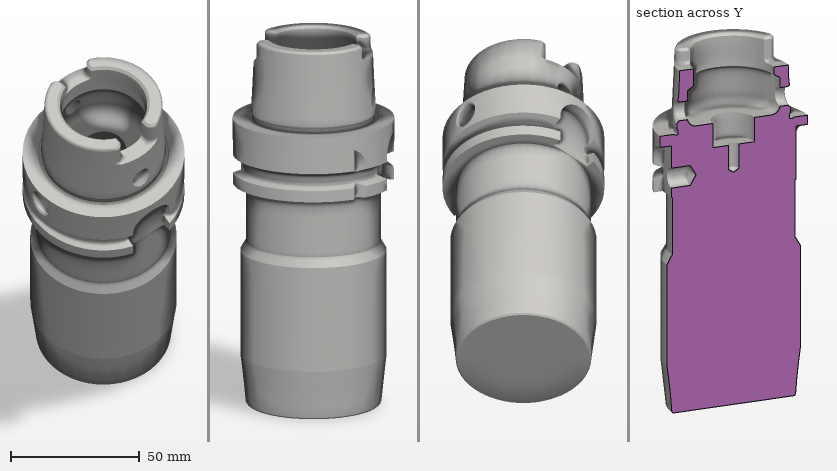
import cadquery as cq
import math


SHANK_LENGTH = 32.0
TAPER_TOP_RADIUS = 22.9
TAPER_BASE_RADIUS = 24.3
TAPER_BASE_Z = 2.2
NECK_RADIUS = 23.9
NECK_TOP_Z = 1.3
RIM_FILLET = 1.3
RIM_CHAMFER = 1.0

RELIEF_DEPTH = 0.4
RELIEF_RADIUS = 25.5

FLANGE_RADIUS = 31.5
FLANGE_THICKNESS = 26.0
GROOVE_CENTRE_Z = -18.0
GROOVE_MOUTH_WIDTH = 6.8
GROOVE_FLOOR_WIDTH = 3.4
GROOVE_FLOOR_RADIUS = 27.5
GROOVE_CORNER_FILLET = 0.85

TOTAL_LENGTH = 146.9
BODY_BOTTOM_Z = SHANK_LENGTH - TOTAL_LENGTH
UPPER_BODY_RADIUS = 26.25
SHOULDER_TOP_Z = -49.5
SHOULDER_BOTTOM_Z = -53.3
LOWER_BODY_RADIUS = 28.5
NOSE_TOP_Z = -95.0
NOSE_END_RADIUS = 26.4
NOSE_CHAMFER = 0.6

LIP_RADIUS = 17.0
LIP_BOTTOM_Z = 18.5
LIP_ANGLE = 30.0
CHAMBER_RADIUS = 19.6
CHAMBER_FILLET = 3.6
BORE_FLOOR_Z = 2.2
TUBE_SEAT_RADIUS = 8.75
TUBE_SEAT_DEPTH = 10.0
COOLANT_HOLE_RADIUS = 2.2
COOLANT_HOLE_DEPTH = 10.0
DRILL_TIP_ANGLE = 118.0

RIM_SLOT_HALF_WIDTH = 6.27
RIM_SLOT_CORNER_RADIUS = 3.0
RIM_SLOT_CORNER_START = 17.8
RIM_SLOT_FLOOR_FILLET = 1.5
SHALLOW_SLOT_FLOOR_Z = 25.8
DEEP_SLOT_FLOOR_Z = 21.8

CROSS_HOLE_RADIUS = 3.75
CROSS_HOLE_Z = 9.0
CROSS_HOLE_CHAMFER = 0.8

KEYWAY_RADIUS = 8.2
WIDE_KEYWAY_RADIUS = 9.0
KEYWAY_CENTRE_Z = -13.0
KEYWAY_FLOOR_X = 26.5
NOTCH_CORNER = 20.2
KEYWAY_HOLE_RADIUS = 4.0
KEYWAY_HOLE_Z = GROOVE_CENTRE_Z
KEYWAY_HOLE_DEPTH = 8.0

CHIP_RADIUS = 5.0
CHIP_DEPTH = 4.6
CHIP_CHAMFER = 0.7
CHIP_Z = -7.0
CHIP_VENT_RADIUS = 0.6
CHIP_VENT_DEPTH = 3.0

OUTSIDE = 2 * FLANGE_RADIUS


def drill(radius, depth):
    """Blind drill pointing along -Z from the origin, with a conical tip."""
    tip = radius / math.tan(math.radians(DRILL_TIP_ANGLE / 2))
    profile = [(0, 0), (radius, 0), (radius, -depth), (0, -depth - tip)]
    return cq.Workplane("XZ").polyline(profile).close().revolve(360, (0, 0), (0, 1))


def countersink(hole_radius, chamfer):
    """45 degree cone along -Z, its chamfer width measured at the origin plane and running out above it."""
    mouth = hole_radius + chamfer
    rise = 2 * chamfer
    profile = [(0, rise), (mouth + rise, rise), (0, -mouth)]
    return cq.Workplane("XZ").polyline(profile).close().revolve(360, (0, 0), (0, 1))


def make_body():
    """Turned outer form, before the gripper groove is cut."""
    profile = [
        (0, SHANK_LENGTH),
        (TAPER_TOP_RADIUS, SHANK_LENGTH),
        (TAPER_BASE_RADIUS, TAPER_BASE_Z),
        (NECK_RADIUS, NECK_TOP_Z),
        (NECK_RADIUS, -RELIEF_DEPTH),
        (RELIEF_RADIUS - RELIEF_DEPTH, -RELIEF_DEPTH),
        (RELIEF_RADIUS, 0),
        (FLANGE_RADIUS, 0),
        (FLANGE_RADIUS, -FLANGE_THICKNESS),
        (UPPER_BODY_RADIUS, -FLANGE_THICKNESS),
        (UPPER_BODY_RADIUS, SHOULDER_TOP_Z),
        (LOWER_BODY_RADIUS, SHOULDER_BOTTOM_Z),
        (LOWER_BODY_RADIUS, NOSE_TOP_Z),
        (NOSE_END_RADIUS, BODY_BOTTOM_Z + NOSE_CHAMFER),
        (NOSE_END_RADIUS - NOSE_CHAMFER, BODY_BOTTOM_Z),
        (0, BODY_BOTTOM_Z),
    ]
    turned = cq.Workplane("YZ").polyline(profile).close().revolve(360, (0, 0), (0, 1))
    return turned.faces(">Z").edges().fillet(RIM_FILLET)


def cut_gripper_groove(body):
    """Trapezoidal groove round the flange with filleted floor corners."""
    floor_half = GROOVE_FLOOR_WIDTH / 2
    mouth_half = GROOVE_MOUTH_WIDTH / 2
    profile = [
        (GROOVE_FLOOR_RADIUS, floor_half),
        (FLANGE_RADIUS, mouth_half),
        (OUTSIDE, mouth_half),
        (OUTSIDE, -mouth_half),
        (FLANGE_RADIUS, -mouth_half),
        (GROOVE_FLOOR_RADIUS, -floor_half),
    ]
    groove = (
        cq.Workplane("YZ")
        .polyline(profile)
        .close()
        .revolve(360, (0, 0), (0, 1))
        .edges(cq.selectors.RadiusNthSelector(0))
        .fillet(GROOVE_CORNER_FILLET)
    )
    return body.cut(groove.translate((0, 0, GROOVE_CENTRE_Z)))


def cut_bore(body):
    """Shank bore with its undercut chamber, coolant tube seat and coolant hole."""
    lip = cq.Workplane("XY", origin=(0, 0, LIP_BOTTOM_Z)).circle(LIP_RADIUS).extrude(SHANK_LENGTH)
    lip_drop = (CHAMBER_RADIUS - LIP_RADIUS) * math.tan(math.radians(LIP_ANGLE))
    chamber_profile = [
        (0, BORE_FLOOR_Z),
        (CHAMBER_RADIUS, BORE_FLOOR_Z),
        (CHAMBER_RADIUS, LIP_BOTTOM_Z - lip_drop),
        (LIP_RADIUS, LIP_BOTTOM_Z),
        (0, LIP_BOTTOM_Z),
    ]
    chamber = (
        cq.Workplane("XZ")
        .polyline(chamber_profile)
        .close()
        .revolve(360, (0, 0), (0, 1))
        .faces("<Z")
        .edges()
        .fillet(CHAMBER_FILLET)
    )
    mouth = countersink(LIP_RADIUS, RIM_CHAMFER).translate((0, 0, SHANK_LENGTH))
    seat_floor_z = BORE_FLOOR_Z - TUBE_SEAT_DEPTH
    seat = (
        cq.Workplane("XY", origin=(0, 0, seat_floor_z))
        .circle(TUBE_SEAT_RADIUS)
        .extrude(TUBE_SEAT_DEPTH)
    )
    coolant_hole = drill(COOLANT_HOLE_RADIUS, COOLANT_HOLE_DEPTH).translate((0, 0, seat_floor_z))
    return body.cut(lip).cut(chamber).cut(mouth).cut(seat).cut(coolant_hole)


def rim_slot_outline(z):
    """Outline of the +X drive slot at height z, widening outwards round two corner arcs."""
    half = RIM_SLOT_HALF_WIDTH
    radius = RIM_SLOT_CORNER_RADIUS
    start = RIM_SLOT_CORNER_START
    wide = half + radius
    bend = radius * math.sqrt(0.5)
    mid_x = start + bend
    mid_y = wide - bend
    end_x = start + radius
    return (
        cq.Workplane("XY", origin=(0, 0, z))
        .moveTo(0, -half)
        .lineTo(start, -half)
        .threePointArc((mid_x, -mid_y), (end_x, -wide))
        .lineTo(end_x, -OUTSIDE)
        .lineTo(OUTSIDE, -OUTSIDE)
        .lineTo(OUTSIDE, OUTSIDE)
        .lineTo(end_x, OUTSIDE)
        .lineTo(end_x, wide)
        .threePointArc((mid_x, mid_y), (start, half))
        .lineTo(0, half)
        .close()
    )


def rim_slot(floor_z):
    """Cutter for the +X drive slot: filleted along its floor, chamfered along its rim."""
    slot = rim_slot_outline(floor_z).extrude(SHANK_LENGTH)
    slot = slot.faces("<Z").edges().fillet(RIM_SLOT_FLOOR_FILLET)
    flare = rim_slot_outline(SHANK_LENGTH - RIM_CHAMFER).extrude(RIM_CHAMFER, taper=-45)
    return slot.union(flare)


def cut_rim_slots(body):
    """Deep slot on +X, shallow slot on -X."""
    deep = rim_slot(DEEP_SLOT_FLOOR_Z)
    shallow = rim_slot(SHALLOW_SLOT_FLOOR_Z).rotate((0, 0, 0), (0, 0, 1), 180)
    return body.cut(deep).cut(shallow)


def cut_cross_hole(body):
    """Hole along X through both shank walls, countersunk outside."""
    slope = (TAPER_BASE_RADIUS - TAPER_TOP_RADIUS) / (SHANK_LENGTH - TAPER_BASE_Z)
    wall_radius = TAPER_BASE_RADIUS - slope * (CROSS_HOLE_Z - TAPER_BASE_Z)
    hole = (
        cq.Workplane("YZ", origin=(0, 0, CROSS_HOLE_Z))
        .circle(CROSS_HOLE_RADIUS)
        .extrude(OUTSIDE, both=True)
    )
    body = body.cut(hole)
    for turn in (90, -90):
        cone = countersink(CROSS_HOLE_RADIUS, CROSS_HOLE_CHAMFER)
        cone = cone.translate((0, 0, wall_radius)).rotate((0, 0, 0), (0, 1, 0), turn)
        body = body.cut(cone.translate((0, 0, CROSS_HOLE_Z)))
    return body


def keyway(floor_x, centre_y, radius):
    """Round-topped cutter on the -X side, flat at x = -floor_x, open at the flange bottom."""
    round_top = (
        cq.Workplane("YZ", origin=(-floor_x, centre_y, KEYWAY_CENTRE_Z))
        .circle(radius)
        .extrude(-OUTSIDE)
    )
    length = FLANGE_THICKNESS + KEYWAY_CENTRE_Z
    legs = (
        cq.Workplane("YZ", origin=(-floor_x, centre_y, KEYWAY_CENTRE_Z - length / 2))
        .rect(2 * radius, length)
        .extrude(-OUTSIDE)
    )
    return round_top.union(legs)


def cut_flange_keyways(body):
    """Keyway on -X with its hole, wider keyway on +X, and the index notch between -X and +Y."""
    minus_x = keyway(KEYWAY_FLOOR_X, 0, KEYWAY_RADIUS)
    plus_x = keyway(KEYWAY_FLOOR_X, 0, WIDE_KEYWAY_RADIUS).rotate((0, 0, 0), (0, 0, 1), 180)
    notch = keyway(NOTCH_CORNER, NOTCH_CORNER + KEYWAY_RADIUS, KEYWAY_RADIUS)
    hole = drill(KEYWAY_HOLE_RADIUS, KEYWAY_HOLE_DEPTH).rotate((0, 0, 0), (0, 1, 0), -90)
    hole = hole.translate((-KEYWAY_FLOOR_X, 0, KEYWAY_HOLE_Z))
    return body.cut(minus_x).cut(plus_x).cut(notch).cut(hole)


def cut_chip_pocket(body):
    """Countersunk flat-bottomed pocket on -Y with a fine vent hole in its floor."""
    floor_y = -FLANGE_RADIUS + CHIP_DEPTH
    pocket = cq.Workplane("XZ", origin=(0, floor_y, CHIP_Z)).circle(CHIP_RADIUS).extrude(OUTSIDE)
    vent = (
        cq.Workplane("XZ", origin=(0, floor_y, CHIP_Z))
        .circle(CHIP_VENT_RADIUS)
        .extrude(-CHIP_VENT_DEPTH)
    )
    cone = countersink(CHIP_RADIUS, CHIP_CHAMFER).rotate((0, 0, 0), (1, 0, 0), 90)
    cone = cone.translate((0, -FLANGE_RADIUS, CHIP_Z))
    return body.cut(pocket).cut(vent).cut(cone)


body = make_body()
body = cut_gripper_groove(body)
body = cut_bore(body)
body = cut_rim_slots(body)
body = cut_cross_hole(body)
body = cut_flange_keyways(body)
result = cut_chip_pocket(body)